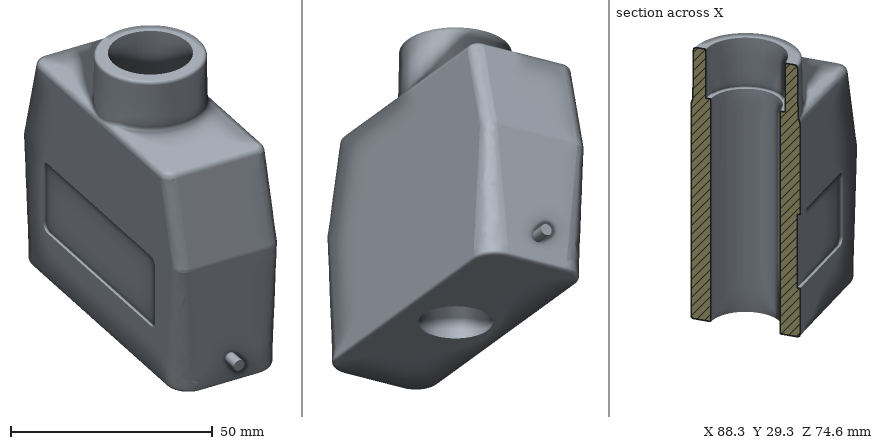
import cadquery as cq

body_length = 79.4
body_depth = 29.3
body_height = 60.6
roof_length = 66.0
shoulder_height = 35.7
shoulder_radius = 3.0
base_band_height = 2.6
base_corner_radius = 6.2
upper_corner_radius = 3.1
roof_edge_radius = 2.0
base_edge_radius = 0.9

overall_height = 74.6
neck_top_radius = 14.0
neck_root_radius = 14.3
neck_rim_radius = 1.0
neck_root_fillet = 1.0
bore_radius = 10.55
bore_depth = 13.4
passage_radius = 9.25

pin_span = 88.3
pin_diameter = 3.0
pin_height = 7.3
pin_embedding = 3.0

label_length = 55.5
label_height = 20.1
label_center_height = 23.6
label_corner_radius = 2.0
label_depth = 0.8


def rounded_section(length, corner_radius, height):
    """Horizontal rounded rectangle, as deep as the body, at the given height."""
    outline = cq.Sketch().rect(length, body_depth).vertices().fillet(corner_radius)
    return outline.moved(cq.Location(cq.Vector(0, 0, height)))


def lofted_band(lower_section, upper_section):
    """Straight-sided band between two rounded sections."""
    return cq.Workplane("XY").placeSketch(lower_section, upper_section).loft(ruled=True)


def make_body():
    base = rounded_section(body_length, base_corner_radius, 0)
    band_top = rounded_section(body_length, base_corner_radius, base_band_height)
    shoulder = rounded_section(body_length, upper_corner_radius, shoulder_height)
    roof = rounded_section(roof_length, upper_corner_radius, body_height)

    base_band = lofted_band(base, band_top).faces("<Z").edges().fillet(base_edge_radius)
    lower_wall = lofted_band(band_top, shoulder)
    upper_wall = lofted_band(shoulder, roof).faces(">Z").edges().fillet(roof_edge_radius)
    body = base_band.union(lower_wall).union(upper_wall)
    return round_shoulders(body)


def round_shoulders(body):
    """Soften the bend where each end wall starts to lean inward."""
    shoulder_level = cq.Vector(0, 0, shoulder_height)
    half_span = cq.Vector(body_length, body_depth, shoulder_radius / 2)
    lower_corner = (shoulder_level - half_span).toTuple()
    upper_corner = (shoulder_level + half_span).toTuple()
    shoulder_zone = cq.selectors.BoxSelector(lower_corner, upper_corner, boundingbox=True)
    return body.edges(shoulder_zone).edges("|Y").fillet(shoulder_radius)


def add_neck(body):
    neck_start = body_height - 2 * roof_edge_radius
    neck = (
        cq.Workplane("XY", origin=(0, 0, neck_start))
        .circle(neck_root_radius)
        .workplane(offset=overall_height - neck_start)
        .circle(neck_top_radius)
        .loft(ruled=True)
        .faces(">Z")
        .edges()
        .fillet(neck_rim_radius)
    )
    joined = body.union(neck)
    reach = neck_root_radius + neck_root_fillet
    root_zone = cq.selectors.BoxSelector(
        (-reach, -reach, neck_start), (reach, reach, body_height + neck_root_fillet), boundingbox=True
    )
    return joined.edges(root_zone).fillet(neck_root_fillet)


def cut_bore(body):
    """Stepped opening: wide bore in the neck, narrower passage down to the base."""
    rim = cq.Workplane("XY", origin=(0, 0, overall_height))
    bore = rim.circle(bore_radius).extrude(-bore_depth)
    passage = rim.circle(passage_radius).extrude(-overall_height)
    return body.cut(bore).cut(passage)


def add_pins(body):
    pin_length = (pin_span - body_length) / 2 + pin_embedding
    for side in (-1, 1):
        pin = (
            cq.Workplane("YZ", origin=(side * pin_span / 2, 0, pin_height))
            .circle(pin_diameter / 2)
            .extrude(-side * pin_length)
        )
        body = body.union(pin)
    return body


def cut_label_recess(body):
    recess = (
        cq.Workplane("XZ", origin=(0, -body_depth / 2, label_center_height))
        .rect(label_length, label_height)
        .extrude(-label_depth)
        .edges("|Y")
        .fillet(label_corner_radius)
    )
    return body.cut(recess)


hood = make_body()
hood = add_neck(hood)
hood = cut_bore(hood)
hood = add_pins(hood)
result = cut_label_recess(hood)